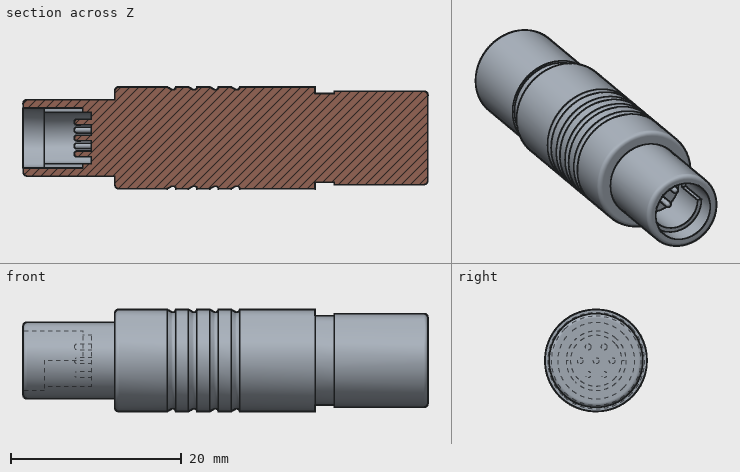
import cadquery as cq
import math

total_length = 47.5
body_start = 10.75
body_end = 34.25
rear_start = 36.5

nose_radius = 4.5
body_radius = 6.0
neck_radius = 5.25
rear_radius = 5.5
edge_round = 0.5

groove_count = 4
groove_pitch = 2.5
first_groove_start = 16.9
groove_width = 1.0
groove_cone_width = groove_width / 2
groove_cone_angle = math.radians(30)

socket_radius = 3.5
socket_depth = 8.0
half_ring_inner_radius = 3.0
half_ring_setback = 2.5
floor_step_height = 1.0

pin_radius = 0.35
pin_length = 2.0
pin_root_overlap = 0.3
pin_circle_radius = 1.87
ring_pin_count = 6

nose_x = -total_length / 2


def cylinder(start, end, radius, center_y=0.0, center_z=0.0):
    """Cylinder along X between two distances from the nose tip."""
    return (
        cq.Workplane("YZ", origin=(nose_x + start, center_y, center_z))
        .circle(radius)
        .extrude(end - start)
    )


def make_shell():
    """Stepped solid body: rounded nose, grip body, neck and rear barrel."""
    nose = cylinder(0, body_start, nose_radius).faces("<X").edges().fillet(edge_round)
    body = cylinder(body_start, body_end, body_radius).faces("<X").edges().fillet(edge_round)
    neck = cylinder(body_end, rear_start, neck_radius)
    rear = cylinder(rear_start, total_length, rear_radius).faces(">X").edges().fillet(edge_round)
    return nose.union(body).union(neck).union(rear)


def make_groove(start):
    """Ring-shaped void whose section is a straight flank followed by a tangent arc."""
    start_x = nose_x + start
    arc_start = (
        start_x + groove_cone_width,
        body_radius - groove_cone_width * math.tan(groove_cone_angle),
    )
    return (
        cq.Workplane("XY")
        .moveTo(start_x, body_radius)
        .lineTo(*arc_start)
        .tangentArcPoint((start_x + groove_width, body_radius), relative=False)
        .close()
        .revolve(360, (0, 0, 0), (1, 0, 0))
    )


def make_socket():
    """Socket void: full bore at the mouth, with a half ring left standing below the axis."""
    step_depth = socket_depth - floor_step_height
    wide_bore = cylinder(0, step_depth, socket_radius)
    narrow_bore = cylinder(0, socket_depth, half_ring_inner_radius)
    lower_half = cq.Workplane("XY").box(
        step_depth - half_ring_setback,
        2 * socket_radius,
        socket_radius,
        centered=(False, True, False),
    ).translate((nose_x + half_ring_setback, 0, -socket_radius))
    return wide_bore.cut(lower_half).union(narrow_bore)


def make_pin(center_y, center_z):
    """Round pin with a hemispherical tip, sunk into the socket floor."""
    tip_center = socket_depth - pin_length + pin_radius
    shank = cylinder(tip_center, socket_depth + pin_root_overlap, pin_radius, center_y, center_z)
    tip = cq.Workplane("XY").sphere(pin_radius).translate((nose_x + tip_center, center_y, center_z))
    return shank.union(tip)


result = make_shell()

for index in range(groove_count):
    result = result.cut(make_groove(first_groove_start + index * groove_pitch))

result = result.cut(make_socket())

result = result.union(make_pin(0, 0))
for index in range(ring_pin_count):
    angle = 2 * math.pi * index / ring_pin_count
    pin_y = pin_circle_radius * math.cos(angle)
    pin_z = pin_circle_radius * math.sin(angle)
    result = result.union(make_pin(pin_y, pin_z))